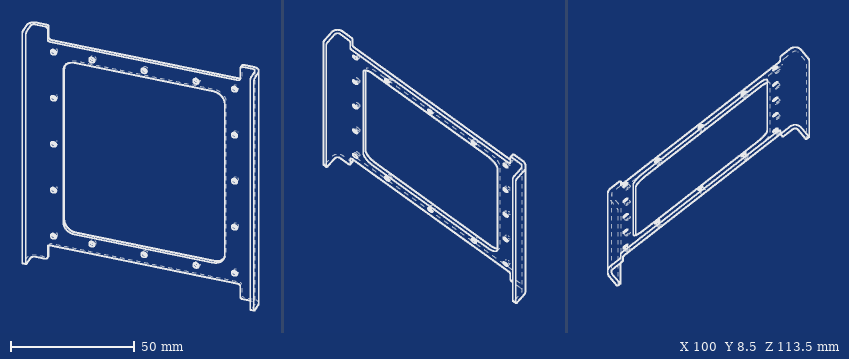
import cadquery as cq

width = 100.0
flange_depth = 8.5
height = 113.5

thickness = 1.6
inner_bend_radius = 1.6
outer_bend_radius = inner_bend_radius + thickness

notch_width = 83.1
web_height = 99.4
notch_depth = (height - web_height) / 2
corner_radius = 1.0

window_width = 69.7
window_height = 83.8
window_radius = 5.0

hole_diameter = 2.4
hole_pitch = 22.5
side_hole_x = 39.0
row_hole_z = 2 * hole_pitch


def bent_sheet():
    """U-shaped channel of constant thickness, running along Z."""
    outer = (
        cq.Workplane("XY")
        .box(width, flange_depth, height)
        .edges("|Z and >Y")
        .fillet(outer_bend_radius)
    )
    inner = (
        cq.Workplane("XY")
        .box(width - 2 * thickness, flange_depth, height)
        .edges("|Z and >Y")
        .fillet(inner_bend_radius)
        .translate((0, -thickness, 0))
    )
    return outer.cut(inner).translate((0, -flange_depth / 2, 0))


def round_flange_corners(body):
    """Round the free corners of both flanges."""
    return body.edges("|X and <Y").fillet(corner_radius)


def through_web(sketch_width, sketch_height):
    """Rectangular cutter that passes through the web towards -Y."""
    return cq.Workplane("XZ").rect(sketch_width, sketch_height).extrude(thickness)


def cut_end_notches(body):
    """Shorten the web between the tabs, then round the tab and notch corners."""
    for side in (-1, 1):
        notch_z = side * (height - notch_depth) / 2
        body = body.cut(through_web(notch_width, notch_depth).translate((0, 0, notch_z)))
    notch_corners = cq.selectors.BoxSelector(
        (-notch_width / 2 - corner_radius, -thickness, -height),
        (notch_width / 2 + corner_radius, 0, height),
    )
    return body.edges("|Y").edges(notch_corners).fillet(corner_radius)


def cut_window(body):
    """Cut the round-cornered central opening."""
    window = through_web(window_width, window_height).edges("|Y").fillet(window_radius)
    return body.cut(window)


def drill_holes(body):
    """Drill five holes down each side and three more along each end."""
    side_holes = [(x, i * hole_pitch) for x in (-side_hole_x, side_hole_x) for i in range(-2, 3)]
    end_holes = [(i * hole_pitch, z) for z in (-row_hole_z, row_hole_z) for i in range(-1, 2)]
    holes = (
        cq.Workplane("XZ")
        .pushPoints(side_holes + end_holes)
        .circle(hole_diameter / 2)
        .extrude(thickness)
    )
    return body.cut(holes)


channel = round_flange_corners(bent_sheet())
frame = cut_window(cut_end_notches(channel))
result = drill_holes(frame)